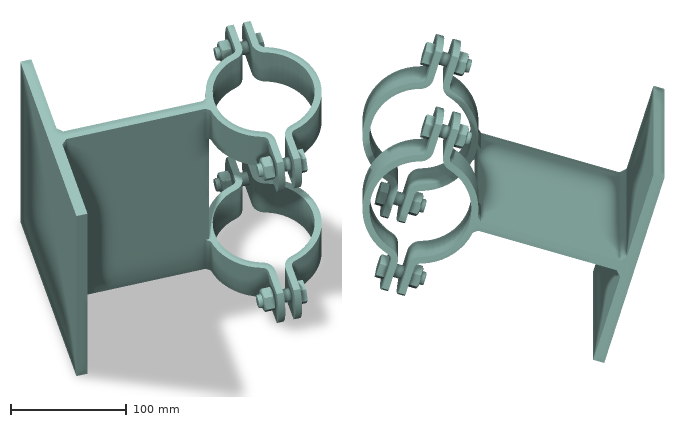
import cadquery as cq
import math

total_depth = 244.8
post_height = 220.0

flange_width = 180.0
flange_thickness = 10.0
web_thickness = 9.0
web_root_chamfer = 5.0

ring_radius = 50.5
strap_thickness = 6.0
strap_width = 40.0
ear_gap = 9.0
ear_reach = 86.0
ear_end_bulge = 6.0
bend_radius = 5.9
weld_size = 3.2

bolt_offset = 67.8
bolt_diameter = 12.0
bolt_tip_diameter = 11.0
bolt_tip_length = 1.2
bolt_overhang = 4.0
hex_across_flats = 19.0
nut_face_diameter = 17.1
head_height = 7.0
nut_height = 10.0
nut_chamfer_angle = 30.0

front_y = ring_radius - total_depth
flange_back_y = front_y + flange_thickness
web_end_y = -ring_radius
ear_inner_y = ear_gap / 2
ear_outer_y = ear_inner_y + strap_thickness
hex_across_corners = hex_across_flats / math.cos(math.radians(30))


def make_post():
    """T-section with chamfered roots between web and flange."""
    half_flange = flange_width / 2
    half_web = web_thickness / 2
    right_side = [
        (half_flange, front_y),
        (half_flange, flange_back_y),
        (half_web + web_root_chamfer, flange_back_y),
        (half_web, flange_back_y + web_root_chamfer),
        (half_web, web_end_y),
    ]
    left_side = [(-x, y) for x, y in reversed(right_side)]
    return cq.Workplane("XY").polyline(right_side + left_side).close().extrude(post_height)


def make_clamp_half():
    """Rear half of the clamp, centred on Z = 0."""
    inner_radius = ring_radius - strap_thickness
    bend_y = ear_outer_y + bend_radius
    bend_x = math.sqrt((ring_radius + bend_radius) ** 2 - bend_y**2)
    ring_angle = math.atan2(bend_y, bend_x)
    bend_mid_angle = (ring_angle + math.pi + 3 * math.pi / 2) / 2

    def on_ring(radius):
        return (radius * math.cos(ring_angle), radius * math.sin(ring_angle))

    def bend_middle(radius):
        return (bend_x + radius * math.cos(bend_mid_angle), bend_y + radius * math.sin(bend_mid_angle))

    def mirrored(point):
        return (-point[0], point[1])

    outer_bend_radius = bend_radius + strap_thickness
    strap = (
        cq.Workplane("XY", origin=(0, 0, -strap_width / 2))
        .moveTo(ear_reach, ear_inner_y)
        .lineTo(ear_reach, ear_outer_y)
        .lineTo(bend_x, ear_outer_y)
        .threePointArc(bend_middle(bend_radius), on_ring(ring_radius))
        .threePointArc((0, ring_radius), mirrored(on_ring(ring_radius)))
        .threePointArc(mirrored(bend_middle(bend_radius)), (-bend_x, ear_outer_y))
        .lineTo(-ear_reach, ear_outer_y)
        .lineTo(-ear_reach, ear_inner_y)
        .lineTo(-bend_x, ear_inner_y)
        .threePointArc(mirrored(bend_middle(outer_bend_radius)), mirrored(on_ring(inner_radius)))
        .threePointArc((0, inner_radius), on_ring(inner_radius))
        .threePointArc(bend_middle(outer_bend_radius), (bend_x, ear_inner_y))
        .close()
        .extrude(strap_width)
    )

    corner_x = ear_reach - ear_end_bulge
    half_width = strap_width / 2
    ear_outline = (
        cq.Workplane("XZ")
        .moveTo(-corner_x, -half_width)
        .lineTo(corner_x, -half_width)
        .threePointArc((ear_reach, 0), (corner_x, half_width))
        .lineTo(-corner_x, half_width)
        .threePointArc((-ear_reach, 0), (-corner_x, -half_width))
        .close()
        .extrude(ring_radius, both=True)
    )
    return strap.intersect(ear_outline)


def make_weld():
    """Weld filling the corners between the ring and both sides of the web."""
    half_web = web_thickness / 2
    half_weld = half_web + weld_size
    weld_toe_y = -math.sqrt(ring_radius**2 - half_weld**2)
    weld_end_y = web_end_y - weld_size
    ring_wall_y = strap_thickness / 2 - ring_radius
    return (
        cq.Workplane("XY", origin=(0, 0, -strap_width / 2))
        .polyline([
            (-half_weld, weld_toe_y),
            (-half_web, weld_end_y),
            (half_web, weld_end_y),
            (half_weld, weld_toe_y),
            (0, ring_wall_y),
        ])
        .close()
        .extrude(strap_width)
    )


def hex_prism(start_y, height):
    """Hexagon along -Y from start_y, with corners pointing along X."""
    return (
        cq.Workplane("XZ", origin=(0, start_y, 0))
        .polygon(6, hex_across_corners)
        .extrude(height)
    )


def make_nut():
    """Hex nut against the front ear, with its corners turned down at both ends."""
    face_radius = nut_face_diameter / 2
    corner_radius = hex_across_corners / 2
    chamfer_height = (corner_radius - face_radius) * math.tan(math.radians(nut_chamfer_angle))
    start_y = -ear_outer_y
    end_y = start_y - nut_height
    turned_envelope = (
        cq.Workplane("XY")
        .polyline([
            (0, start_y),
            (face_radius, start_y),
            (corner_radius, start_y - chamfer_height),
            (corner_radius, end_y + chamfer_height),
            (face_radius, end_y),
            (0, end_y),
        ])
        .close()
        .revolve(360, (0, 0, 0), (0, 1, 0))
    )
    return hex_prism(start_y, nut_height).intersect(turned_envelope)


def make_bolt():
    """Hex bolt along -Y with its nut, on the Y axis."""
    head = hex_prism(ear_outer_y + head_height, head_height)
    shank_length = 2 * ear_outer_y + nut_height + bolt_overhang
    shank = (
        cq.Workplane("XZ", origin=(0, ear_outer_y, 0))
        .circle(bolt_diameter / 2)
        .extrude(shank_length)
        .faces("<Y")
        .chamfer(bolt_tip_length, (bolt_diameter - bolt_tip_diameter) / 2)
    )
    return head.union(shank).union(make_nut())


def make_clamp():
    """Both clamp halves, the weld and two bolts, centred on Z = 0."""
    rear_half = make_clamp_half()
    clamp = rear_half.union(rear_half.mirror("XZ")).union(make_weld())
    bolt = make_bolt()
    for side in (-1, 1):
        clamp = clamp.union(bolt.translate((side * bolt_offset, 0, 0)))
    return clamp


result = make_post()
clamp = make_clamp()
for clamp_z in (strap_width / 2, post_height - strap_width / 2):
    result = result.union(clamp.translate((0, 0, clamp_z)))